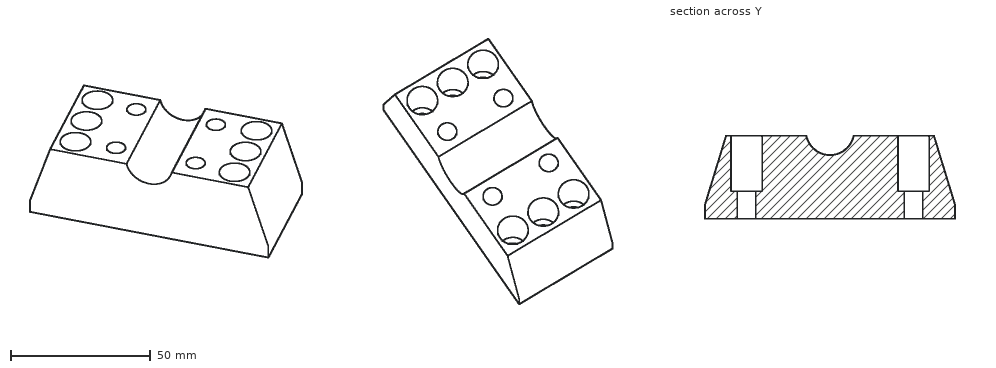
import cadquery as cq
import math

length = 90.0
width = 40.0
height = 30.0
skirt_height = 5.0
end_slope_angle = 17.0

groove_chord = 17.0
groove_depth = 7.0

mount_x = 30.0
mount_pitch_y = 13.0
mount_diameter = 6.6
counterbore_diameter = 11.0
counterbore_depth = 20.0

clamp_x = 15.0
clamp_y = 12.0
clamp_diameter = 6.8

SIDES = (-1, 1)


def make_block():
    """Extrude the end-tapered profile, with its groove, along Y about the origin."""
    half_length = length / 2
    slope_run = (height - skirt_height) * math.tan(math.radians(end_slope_angle))
    half_top = half_length - slope_run
    half_chord = groove_chord / 2
    profile = (
        cq.Workplane("XZ")
        .moveTo(-half_length, 0)
        .lineTo(half_length, 0)
        .lineTo(half_length, skirt_height)
        .lineTo(half_top, height)
        .lineTo(half_chord, height)
        .threePointArc((0, height - groove_depth), (-half_chord, height))
        .lineTo(-half_top, height)
        .lineTo(-half_length, skirt_height)
        .close()
    )
    return profile.extrude(width / 2, both=True)


def vertical_cylinders(points, diameter, bottom):
    """Cylinders at the given XY points, from the bottom level up to the top face."""
    return (
        cq.Workplane("XY", origin=(0, 0, bottom))
        .pushPoints(points)
        .circle(diameter / 2)
        .extrude(height - bottom)
    )


def cut_mount_holes(body):
    points = [(side * mount_x, row * mount_pitch_y) for side in SIDES for row in (-1, 0, 1)]
    body = body.cut(vertical_cylinders(points, mount_diameter, 0))
    return body.cut(vertical_cylinders(points, counterbore_diameter, height - counterbore_depth))


def cut_clamp_holes(body):
    points = [(side * clamp_x, row * clamp_y) for side in SIDES for row in SIDES]
    return body.cut(vertical_cylinders(points, clamp_diameter, 0))


result = cut_clamp_holes(cut_mount_holes(make_block()))